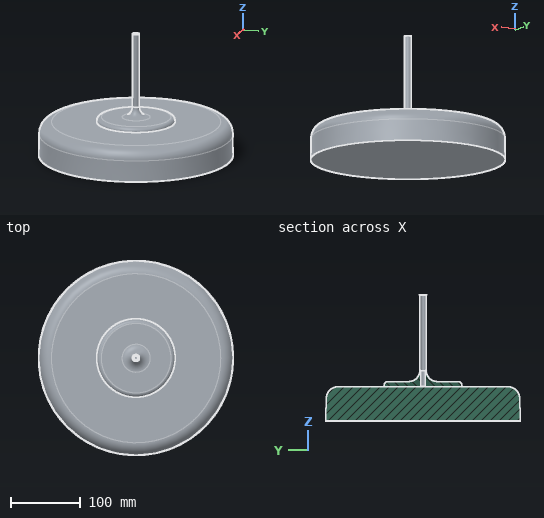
import cadquery as cq
import math

SHADE_DIAMETER = 280.0
OVERALL_HEIGHT = 181.2

SHADE_HEIGHT = 49.8
SHADE_TOP_DIAMETER = 243.0
SHADE_RIM_DIAMETER = 279.0
SHADE_RIM_HEIGHT = 18.0

CANOPY_TOP_DIAMETER = 100.0
CANOPY_RIM_RADIUS = 6.5
CANOPY_HEIGHT = 7.3
STEM_DIAMETER = 10.0
BORE_DIAMETER = 6.7
CABLE_HOLE_DIAMETER = 5.5
FLARE_RADIUS = 15.0

SHADE_WALL_HEIGHT = SHADE_HEIGHT - SHADE_RIM_HEIGHT
CANOPY_DIAMETER = CANOPY_TOP_DIAMETER + 2 * CANOPY_RIM_RADIUS
HANGER_HEIGHT = OVERALL_HEIGHT - SHADE_HEIGHT
STEM_LENGTH = HANGER_HEIGHT - CANOPY_HEIGHT
BORE_DEPTH = STEM_LENGTH - FLARE_RADIUS


def make_shade():
    """Drum standing on Z = 0, revolved from half of its cross-section."""
    top_radius = SHADE_TOP_DIAMETER / 2
    rim_radius = SHADE_RIM_DIAMETER / 2
    rim_middle = (
        top_radius + (rim_radius - top_radius) * math.sin(math.pi / 4),
        SHADE_WALL_HEIGHT + SHADE_RIM_HEIGHT * math.sin(math.pi / 4),
    )
    half_section = (
        cq.Workplane("XZ")
        .lineTo(SHADE_DIAMETER / 2, 0)
        .lineTo(rim_radius, SHADE_WALL_HEIGHT)
        .threePointArc(rim_middle, (top_radius, SHADE_HEIGHT))
        .lineTo(0, SHADE_HEIGHT)
        .close()
    )
    return half_section.revolve(360, (0, 0), (0, 1))


def make_canopy():
    """Disc resting on the shade, with its upper rim rounded."""
    disc = (
        cq.Workplane("XY")
        .workplane(offset=SHADE_HEIGHT)
        .circle(CANOPY_DIAMETER / 2)
        .extrude(CANOPY_HEIGHT)
    )
    return disc.faces(">Z").edges().fillet(CANOPY_RIM_RADIUS)


def make_hanger():
    """Canopy and stem joined by a flared neck, with a stepped hole along the whole axis."""
    canopy = make_canopy()
    stem = canopy.faces(">Z").workplane().circle(STEM_DIAMETER / 2).extrude(STEM_LENGTH)
    neck_edge = cq.selectors.RadiusNthSelector(0)
    flared = stem.faces("<Z[-2]").edges(neck_edge).fillet(FLARE_RADIUS)
    return flared.faces(">Z").workplane().cboreHole(
        CABLE_HOLE_DIAMETER, BORE_DIAMETER, BORE_DEPTH, HANGER_HEIGHT
    )


shade = make_shade()
hanger = make_hanger()

result = cq.Compound.makeCompound([shade.val(), hanger.val()])